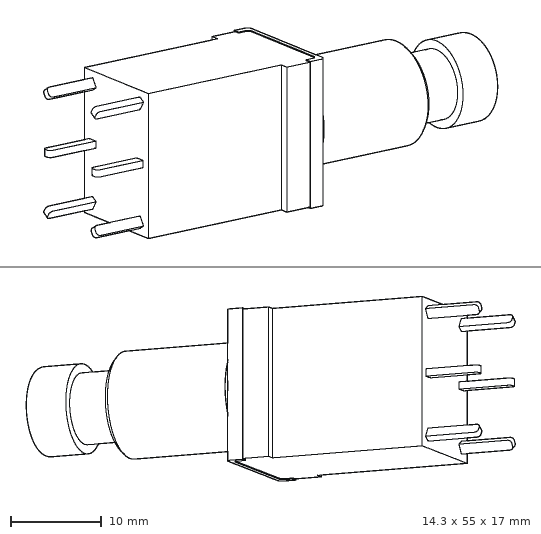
import cadquery as cq

total_length = 55.05
button_front = 25.4
cap_length = 5.0
neck_length = 5.0
foot_rounding = 0.6
bezel_depth = 2.0
shoulder_end = 5.1
body_depth = 23.3

cap_diameter = 10.0
cap_rounding = 0.55
neck_diameter = 8.0
barrel_diameter = 12.0
barrel_chamfer = 0.5

bezel_width = 14.35
bezel_height = 17.0
bezel_rounding = 0.55
bezel_wall = 0.8
bezel_face_thickness = 0.55
body_width = 12.05
body_height = 16.8
shoulder_width = 14.1

pin_width = 1.2
pin_thickness = 0.8
pin_corner_angle = 57
pin_tip_radius = 0.45
pin_x = 4.45
pin_z = 6.9
pin_embedding = 1.1


def y_box(width, height, y_back, y_front):
    """Box centred on the Y axis between two Y stations."""
    box = cq.Workplane("XY").box(width, y_front - y_back, height)
    return box.translate((0, (y_back + y_front) / 2, 0))


def make_button():
    """Cap, neck and barrel with a rounded foot, revolved about Y."""
    cap_back = button_front - cap_length
    barrel_front = cap_back - neck_length
    cap_radius = cap_diameter / 2
    neck_radius = neck_diameter / 2
    barrel_radius = barrel_diameter / 2
    foot_radius = barrel_radius + foot_rounding
    profile = (
        cq.Workplane("XY")
        .moveTo(0, -bezel_face_thickness)
        .lineTo(foot_radius, -bezel_face_thickness)
        .lineTo(foot_radius, 0)
        .radiusArc((barrel_radius, foot_rounding), -foot_rounding)
        .lineTo(barrel_radius, barrel_front - barrel_chamfer)
        .lineTo(barrel_radius - barrel_chamfer, barrel_front)
        .lineTo(neck_radius, barrel_front)
        .lineTo(neck_radius, cap_back)
        .lineTo(cap_radius, cap_back)
        .lineTo(cap_radius, button_front)
        .lineTo(0, button_front)
        .close()
    )
    button = profile.revolve(360, (0, 0, 0), (0, 1, 0))
    return button.faces(">Y").edges().fillet(cap_rounding)


def make_bezel():
    """U-shaped bezel: a thin front wall with a leg along each side."""
    outer = y_box(bezel_width, bezel_height, -bezel_depth, 0).edges("|Z and >Y").fillet(bezel_rounding)
    opening = y_box(bezel_width - 2 * bezel_wall, bezel_height, -bezel_depth, -bezel_face_thickness)
    return outer.cut(opening.edges("|Z and >Y").fillet(bezel_rounding))


def make_body():
    """Main block with a wider shoulder behind the bezel legs."""
    block = y_box(body_width, body_height, -body_depth, -bezel_face_thickness / 2)
    shoulder = y_box(shoulder_width, body_height, -shoulder_end, -bezel_rounding)
    return block.union(shoulder)


def make_pin(x, z, angle):
    """Flat pin with rounded tip corners, turned about Y by the given angle in degrees."""
    pin_back = button_front - total_length
    pin = y_box(pin_width, pin_thickness, pin_back, pin_embedding - body_depth)
    pin = pin.faces("<Y").edges("<X or >X").fillet(pin_tip_radius)
    return pin.rotate((0, 0, 0), (0, 1, 0), -angle).translate((x, 0, z))


result = make_body().union(make_bezel()).union(make_button())
for x_side in (-1, 1):
    for z_side in (-1, 0, 1):
        turn = x_side * z_side * pin_corner_angle
        result = result.union(make_pin(x_side * pin_x, z_side * pin_z, turn))